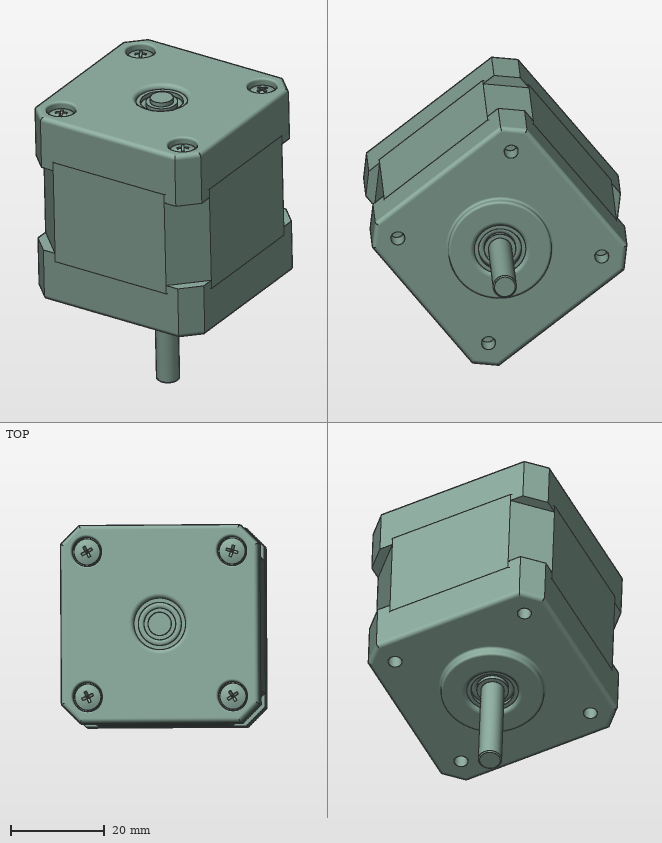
import cadquery as cq


LEAN_X = -1.43
LEAN_Y = -2.31
LEAN_Z = 0.38

BODY_WIDTH = 42.3
CORE_HEIGHT = 24.05
CORE_CORNER_CUT = 7.0
CAP_HEIGHT = 12.0
CAP_CORNER_CUT = 4.0
CAP_EDGE_RADIUS = 1.0
SKIRT_DEPTH = 2.0
CORNER_SPACING = 31.0
CAP_FACE_Z = CORE_HEIGHT / 2 - SKIRT_DEPTH + CAP_HEIGHT

BOSS_DIAMETER = 22.0
BOSS_HEIGHT = 2.0
BOSS_EDGE_RADIUS = 0.5
BOSS_ROOT_RADIUS = 0.5
BOSS_FACE_Z = CAP_FACE_Z + BOSS_HEIGHT

MOUNT_HOLE_DIAMETER = 3.0
MOUNT_HOLE_DEPTH = 4.5

SHAFT_DIAMETER = 5.0
SHAFT_REACH = 22.0
SHAFT_TIP_CHAMFER = 0.3
SHAFT_TIP_Z = BOSS_FACE_Z + SHAFT_REACH

BEARING_DIAMETER = 11.0
BEARING_WIDTH = 3.45
OUTER_RACE_BORE = 9.2
INNER_RACE_DIAMETER = 6.8
BALL_DIAMETER = 2.0
BEARING_RECESS = 1.0
BEARING_BORE_EDGE_RADIUS = BEARING_RECESS

SCREW_BORE_DIAMETER = 6.2
SCREW_BORE_DEPTH = 2.8
SCREW_BORE_EDGE_RADIUS = 0.5
HEAD_DIAMETER = 5.6
HEAD_RIM_HEIGHT = 1.4
HEAD_HEIGHT = 2.0
SHANK_DIAMETER = 3.0
SHANK_TIP_Z = -CORE_HEIGHT / 2
SLOT_LENGTH = 2.8
SLOT_WIDTH = 0.55
SLOT_DEPTH = 1.4
HEAD_SEAT_Z = CAP_FACE_Z - SCREW_BORE_DEPTH

SCREWS = [
    (-1, -1, 24),
    (1, -1, 33),
    (-1, 1, 29),
    (1, 1, -17),
]


def cylinder(diameter, bottom, top, x=0, y=0):
    disc = cq.Workplane("XY", origin=(x, y, bottom)).circle(diameter / 2)
    return disc.extrude(top - bottom)


def cut_corner_block(corner_cut, bottom, top):
    """Square block with its four upright corners cut off."""
    block = cq.Workplane("XY", origin=(0, 0, bottom)).rect(BODY_WIDTH, BODY_WIDTH).extrude(top - bottom)
    return block.edges("|Z").chamfer(corner_cut)


def corner_place(side_x, side_y):
    return side_x * CORNER_SPACING / 2, side_y * CORNER_SPACING / 2


def drill_shanks(block):
    for side_x, side_y, _ in SCREWS:
        x, y = corner_place(side_x, side_y)
        block = block.cut(cylinder(SHANK_DIAMETER, SHANK_TIP_Z, CAP_FACE_Z, x, y))
    return block


def make_core_blank():
    return cut_corner_block(CORE_CORNER_CUT, -CORE_HEIGHT / 2, CORE_HEIGHT / 2)


def make_core():
    core = make_core_blank().cut(cylinder(SHAFT_DIAMETER, -CORE_HEIGHT / 2, CORE_HEIGHT / 2))
    return drill_shanks(core)


def make_cap_blank():
    """Plain cap, face up: its skirt fits around the corners of the core."""
    cap = cut_corner_block(CAP_CORNER_CUT, CAP_FACE_Z - CAP_HEIGHT, CAP_FACE_Z)
    cap = cap.faces(">Z").edges().fillet(CAP_EDGE_RADIUS)
    return cap.cut(make_core_blank())


def rounded_bore(diameter, depth, edge_radius, face_z, x=0, y=0):
    """Tool for a bore sunk into an upward face, with a rounded mouth."""
    mouth = diameter / 2 + edge_radius
    profile = (
        cq.Workplane("XZ", origin=(x, y, face_z))
        .moveTo(0, -depth)
        .lineTo(diameter / 2, -depth)
        .lineTo(diameter / 2, -edge_radius)
        .radiusArc((mouth, 0), edge_radius)
        .lineTo(0, 0)
        .close()
    )
    return profile.revolve(360, (0, 0, 0), (0, 1, 0))


def bore_for_bearing(cap, face_z):
    depth = BEARING_RECESS + BEARING_WIDTH
    cap = cap.cut(rounded_bore(BEARING_DIAMETER, depth, BEARING_BORE_EDGE_RADIUS, face_z))
    return cap.cut(cylinder(SHAFT_DIAMETER, 0, face_z))


def make_rear_cap():
    cap = drill_shanks(make_cap_blank())
    for side_x, side_y, _ in SCREWS:
        x, y = corner_place(side_x, side_y)
        bore = rounded_bore(SCREW_BORE_DIAMETER, SCREW_BORE_DEPTH, SCREW_BORE_EDGE_RADIUS, CAP_FACE_Z, x, y)
        cap = cap.cut(bore)
    return bore_for_bearing(cap, CAP_FACE_Z)


def make_boss():
    """Boss with a rounded rim and a hollow fillet at its root."""
    radius = BOSS_DIAMETER / 2
    profile = (
        cq.Workplane("XZ", origin=(0, 0, CAP_FACE_Z))
        .lineTo(radius + BOSS_ROOT_RADIUS, 0)
        .radiusArc((radius, BOSS_ROOT_RADIUS), BOSS_ROOT_RADIUS)
        .lineTo(radius, BOSS_HEIGHT - BOSS_EDGE_RADIUS)
        .radiusArc((radius - BOSS_EDGE_RADIUS, BOSS_HEIGHT), -BOSS_EDGE_RADIUS)
        .lineTo(0, BOSS_HEIGHT)
        .close()
    )
    return profile.revolve(360, (0, 0, 0), (0, 1, 0))


def make_front_cap():
    """Front cap, shaped face up and then turned over to the shaft end."""
    cap = bore_for_bearing(make_cap_blank().union(make_boss()), BOSS_FACE_Z)
    for side_x, side_y, _ in SCREWS:
        x, y = corner_place(side_x, side_y)
        cap = cap.cut(cylinder(MOUNT_HOLE_DIAMETER, CAP_FACE_Z - MOUNT_HOLE_DEPTH, CAP_FACE_Z, x, y))
    return cap.mirror("XY")


def make_shaft():
    shaft = cylinder(SHAFT_DIAMETER, -SHAFT_TIP_Z, CAP_FACE_Z)
    return shaft.faces("<Z").chamfer(SHAFT_TIP_CHAMFER)


def make_bearing(face_z):
    """Two races joined by a ring of round section that stands for the balls."""
    top = face_z - BEARING_RECESS
    bottom = top - BEARING_WIDTH
    outer_race = cylinder(BEARING_DIAMETER, bottom, top).cut(
        cylinder(OUTER_RACE_BORE, bottom, top)
    )
    inner_race = cylinder(INNER_RACE_DIAMETER, bottom, top).cut(
        cylinder(SHAFT_DIAMETER, bottom, top)
    )
    pitch_radius = (OUTER_RACE_BORE + INNER_RACE_DIAMETER) / 4
    balls = cq.Workplane("XZ").center(pitch_radius, bottom + BEARING_WIDTH / 2).circle(BALL_DIAMETER / 2)
    ball_ring = balls.revolve(360, (-pitch_radius, 0, 0), (-pitch_radius, 1, 0))
    return outer_race.union(ball_ring).union(inner_race)


def make_screw(side_x, side_y, slot_turn):
    """Domed head with a cross slot, on a plain shank."""
    x, y = corner_place(side_x, side_y)
    dome_rise = HEAD_HEIGHT - HEAD_RIM_HEIGHT
    dome_radius = ((HEAD_DIAMETER / 2) ** 2 + dome_rise**2) / (2 * dome_rise)
    head = (
        cq.Workplane("XZ")
        .lineTo(HEAD_DIAMETER / 2, 0)
        .lineTo(HEAD_DIAMETER / 2, HEAD_RIM_HEIGHT)
        .radiusArc((0, HEAD_HEIGHT), -dome_radius)
        .close()
        .revolve(360, (0, 0, 0), (0, 1, 0))
    )
    slot = (
        cq.Workplane("XZ", origin=(0, SLOT_WIDTH / 2, HEAD_HEIGHT))
        .moveTo(-SLOT_LENGTH / 2, 0)
        .lineTo(0, -SLOT_DEPTH)
        .lineTo(SLOT_LENGTH / 2, 0)
        .close()
        .extrude(SLOT_WIDTH)
    )
    for turn in (slot_turn, slot_turn + 90):
        head = head.cut(slot.rotate((0, 0, 0), (0, 0, 1), turn))
    head = head.translate((x, y, HEAD_SEAT_Z))
    return head.union(cylinder(SHANK_DIAMETER, SHANK_TIP_Z, HEAD_SEAT_Z, x, y))


def lean(body):
    body = body.rotate((0, 0, 0), (1, 0, 0), LEAN_X)
    body = body.rotate((0, 0, 0), (0, 1, 0), LEAN_Y)
    return body.rotate((0, 0, 0), (0, 0, 1), LEAN_Z)


core = make_core()
front_cap = make_front_cap()
rear_cap = make_rear_cap()
shaft = make_shaft()
rear_bearing = make_bearing(CAP_FACE_Z)
front_bearing = make_bearing(BOSS_FACE_Z).mirror("XY")
screws = [make_screw(*screw) for screw in SCREWS]

bodies = [core, front_cap, rear_cap, shaft, rear_bearing, front_bearing, *screws]
result = cq.Compound.makeCompound([lean(body).val() for body in bodies])